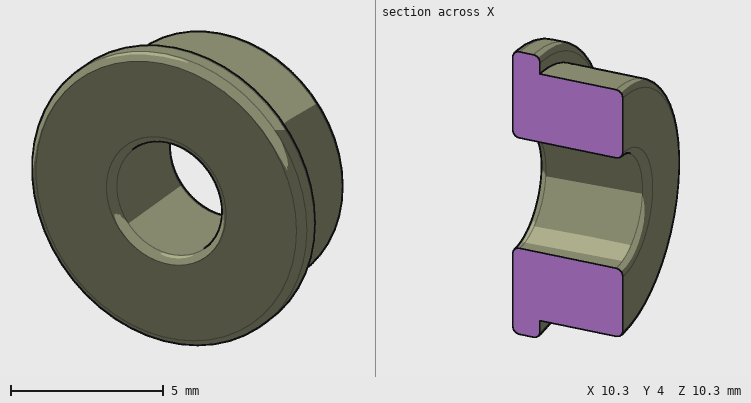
import cadquery as cq

flange_diameter = 10.3
flange_thickness = 1.0
body_diameter = 9.0
total_length = 4.0
bore_diameter = 4.0
edge_radius = 0.25


def disc(diameter, length):
    """Cylinder that starts at Y = 0 and runs toward +Y."""
    return cq.Workplane("XZ").circle(diameter / 2).extrude(-length)


def make_flange():
    """Flange disc with its rim rounded on the body side."""
    return disc(flange_diameter, flange_thickness).faces(">Y").edges().fillet(edge_radius)


def make_bushing():
    """Flange and body with a through bore, before the end rims are rounded."""
    body = disc(body_diameter, total_length)
    bore = disc(bore_diameter, total_length)
    return make_flange().union(body).cut(bore)


def round_end_rims(bushing):
    """Round the outer rim and the bore mouth on both end faces."""
    return bushing.faces("<Y or >Y").edges().fillet(edge_radius)


result = round_end_rims(make_bushing())